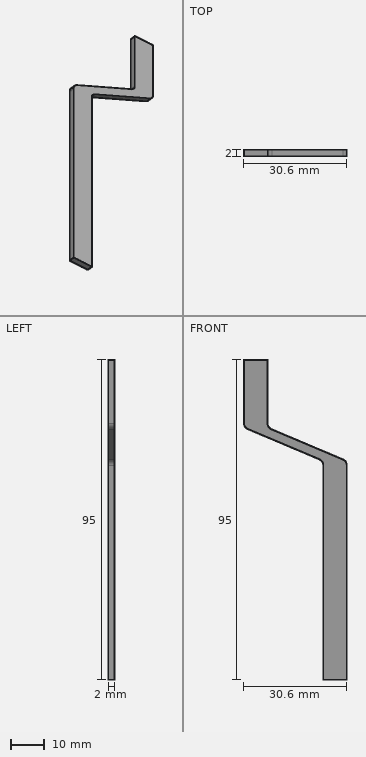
import cadquery as cq
import math

length = 95.0
width = 30.6
thickness = 2.0
leg_width = 7.0
upper_leg_length = 20.0
arm_angle = 22.9
bend_radius = 2.0

arm_run = width - leg_width
upper_bend_z = length - upper_leg_length
lower_bend_z = upper_bend_z - arm_run * math.tan(math.radians(arm_angle))

outline = [
    (0, length),
    (leg_width, length),
    (leg_width, upper_bend_z),
    (width, lower_bend_z),
    (width, 0),
    (arm_run, 0),
    (arm_run, lower_bend_z),
    (0, upper_bend_z),
]
plate = cq.Workplane("XZ").polyline(outline).close().extrude(-thickness)

bend_edges = plate.edges("|Y").edges(
    cq.selectors.BoxSelector(
        (-leg_width, -thickness, lower_bend_z - leg_width),
        (width + leg_width, 2 * thickness, upper_bend_z + leg_width),
    )
)
result = bend_edges.fillet(bend_radius)